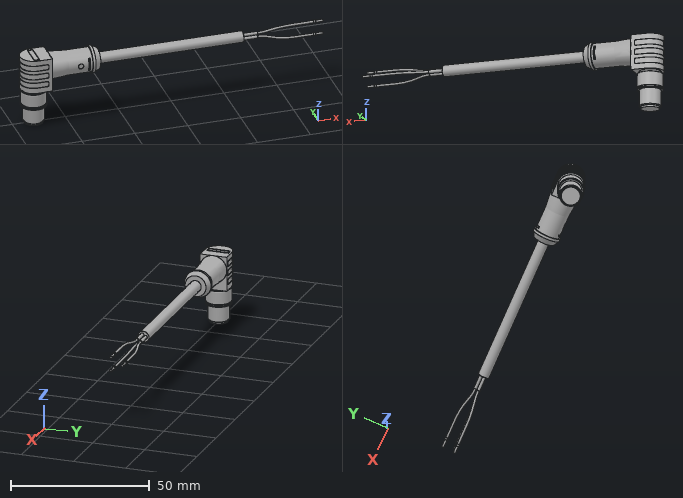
import cadquery as cq
import math


HEAD_RADIUS = 5.1
HEAD_BACK_X = 5.6
HEAD_TOP_Z = HEAD_RADIUS
HEAD_HEIGHT = 13.1
HEAD_BOTTOM_Z = HEAD_TOP_Z - HEAD_HEIGHT

GROOVE_WIDTH = 2.1
GROOVE_DEPTH = 0.2
GROOVE_PITCH = 3.4
GROOVE_COUNT = 3
GROOVE_END_X = 4.2
GROOVE_CORNER_RADIUS = 0.6

SLOT_LENGTH = 8.1
SLOT_WIDTH = 2.0
SLOT_DEPTH = 0.2

NECK_DIAMETER = 8.0
RING_DIAMETER = 9.6
RING_GROOVE_DIAMETER = 9.0
RING_GROOVE_WIDTH = 0.6
RING_LIP = 0.3
NECK_HEIGHT = 0.9
RING_HEIGHT = 6.1
RING_TOP_Z = HEAD_BOTTOM_Z - NECK_HEIGHT
RING_BOTTOM_Z = RING_TOP_Z - RING_HEIGHT
RING_TAPER_INSET = 0.1
RING_TAPER_HEIGHT = 0.6
PLUG_SHOULDER_Z = -21.3
PLUG_END_Z = -22.0
PLUG_CHAMFER = 0.3
PLUG_TIP_DIAMETER = 6.9

BARREL_DIAMETER = 9.3
TAPER_END_X = 12.1
TAPER_BULGE = 0.08
COLLAR_DIAMETER = 2 * HEAD_RADIUS
COLLAR_START_X = 21.0
COLLAR_CONE_X = 22.1
COLLAR_END_X = 24.2
COLLAR_END_DIAMETER = 8.0

DIMPLE_DIAMETER = 2.0
DIMPLE_X = 16.6
DIMPLE_DEPTH = 0.2
SIDE_SLOT_X = 19.9
SIDE_SLOT_WIDTH = 0.6
SIDE_SLOT_FLOOR_Y = 3.9

CABLE_DIAMETER = 4.3
CABLE_END_X = 79.0
WIRE_COUNT = 3
INSULATION_DIAMETER = 1.4
INSULATION_END_X = 84.5
CORE_DIAMETER = 1.05
BEND_END_X = 97.8
FIRST_BEND_SHARE = 0.34
SPREAD_RADIUS = 3.0
BAND_DIAMETER = 1.4
BAND_START_X = 105.3
BAND_END_X = 106.1
TIP_DIAMETER = 1.0
TIP_END_X = 108.9
LONG_TIP_END_X = 109.2
JOINT_OVERLAP = 1.1
INSULATION_GAP = 0.1
BUNDLE_RADIUS = (INSULATION_DIAMETER + INSULATION_GAP) / math.sqrt(3)


def head_outline(inset=0.0):
    """D outline on the XY plane, inset all around."""
    radius = HEAD_RADIUS - inset
    return (
        cq.Workplane("XY")
        .moveTo(0, radius)
        .threePointArc((-radius, 0), (0, -radius))
        .lineTo(HEAD_BACK_X, -radius)
        .lineTo(HEAD_BACK_X, radius)
        .close()
    )


def make_head():
    block = head_outline().extrude(HEAD_HEIGHT).translate((0, 0, HEAD_BOTTOM_Z))
    shell = block.cut(head_outline(GROOVE_DEPTH).extrude(HEAD_HEIGHT).translate((0, 0, HEAD_BOTTOM_Z)))
    start_x = -2 * HEAD_RADIUS
    middle_z = HEAD_TOP_Z - HEAD_HEIGHT / 2
    for index in range(GROOVE_COUNT):
        groove_z = middle_z + (index - (GROOVE_COUNT - 1) / 2) * GROOVE_PITCH
        cutter = (
            cq.Workplane("XY")
            .box(GROOVE_END_X - start_x, 4 * HEAD_RADIUS, GROOVE_WIDTH)
            .edges("|Y and >X")
            .fillet(GROOVE_CORNER_RADIUS)
            .translate(((GROOVE_END_X + start_x) / 2, 0, groove_z))
        )
        block = block.cut(cutter.intersect(shell))
    slot = cq.Workplane("XY").box(SLOT_WIDTH, SLOT_LENGTH, 2 * SLOT_DEPTH)
    return block.cut(slot.translate((0, 0, HEAD_TOP_Z)))


def make_plug():
    neck = NECK_DIAMETER / 2
    ring = RING_DIAMETER / 2
    ring_groove = RING_GROOVE_DIAMETER / 2
    tip = PLUG_TIP_DIAMETER / 2
    groove_bottom_z = RING_BOTTOM_Z + RING_LIP
    groove_top_z = groove_bottom_z + RING_GROOVE_WIDTH
    profile = [
        (0, 0),
        (neck, 0),
        (neck, RING_TOP_Z),
        (ring - RING_TAPER_INSET, RING_TOP_Z),
        (ring, RING_TOP_Z - RING_TAPER_HEIGHT),
        (ring, groove_top_z),
        (ring_groove, groove_top_z),
        (ring_groove, groove_bottom_z),
        (ring, groove_bottom_z),
        (ring, RING_BOTTOM_Z),
        (neck, RING_BOTTOM_Z),
        (neck, PLUG_SHOULDER_Z + PLUG_CHAMFER),
        (neck - PLUG_CHAMFER, PLUG_SHOULDER_Z),
        (tip, PLUG_SHOULDER_Z),
        (tip, PLUG_END_Z),
        (0, PLUG_END_Z),
    ]
    return cq.Workplane("XZ").polyline(profile).close().revolve(360, (0, 0), (0, 1))


def make_outlet():
    barrel = BARREL_DIAMETER / 2
    collar = COLLAR_DIAMETER / 2
    collar_end = COLLAR_END_DIAMETER / 2
    taper_middle = (
        (HEAD_BACK_X + TAPER_END_X) / 2,
        (HEAD_RADIUS + barrel) / 2 + TAPER_BULGE,
    )
    outlet = (
        cq.Workplane("XY")
        .moveTo(HEAD_BACK_X, 0)
        .lineTo(HEAD_BACK_X, HEAD_RADIUS)
        .threePointArc(taper_middle, (TAPER_END_X, barrel))
        .lineTo(COLLAR_START_X, barrel)
        .lineTo(COLLAR_START_X, collar)
        .lineTo(COLLAR_CONE_X, collar)
        .lineTo(COLLAR_END_X, collar_end)
        .lineTo(COLLAR_END_X, 0)
        .close()
        .revolve(360, (0, 0), (1, 0))
    )
    for side in (-1, 1):
        slot = cq.Workplane("XY").box(SIDE_SLOT_WIDTH, BARREL_DIAMETER, BARREL_DIAMETER)
        slot_y = side * (SIDE_SLOT_FLOOR_Y + BARREL_DIAMETER / 2)
        outlet = outlet.cut(slot.translate((SIDE_SLOT_X, slot_y, 0)))
    dimple = (
        cq.Workplane("XZ", origin=(DIMPLE_X, DIMPLE_DEPTH - barrel, 0))
        .circle(DIMPLE_DIAMETER / 2)
        .extrude(barrel)
    )
    return outlet.cut(dimple)


def rod(start_x, end_x, diameter, offset=0.0):
    """Round rod along X, displaced along +Y by the offset."""
    plane = cq.Workplane("YZ", origin=(start_x, offset, 0))
    return plane.circle(diameter / 2).extrude(end_x - start_x)


def make_wire(tip_end_x):
    """One wire in the XY plane that bends outward along +Y and straightens again."""
    run = BEND_END_X - INSULATION_END_X
    rise = SPREAD_RADIUS - BUNDLE_RADIUS
    middle_point = (INSULATION_END_X + FIRST_BEND_SHARE * run, BUNDLE_RADIUS + FIRST_BEND_SHARE * rise)
    path = (
        cq.Workplane("XY")
        .moveTo(INSULATION_END_X - JOINT_OVERLAP, BUNDLE_RADIUS)
        .lineTo(INSULATION_END_X, BUNDLE_RADIUS)
        .tangentArcPoint(middle_point, relative=False)
        .tangentArcPoint((BEND_END_X, SPREAD_RADIUS), relative=False)
        .lineTo(BAND_START_X, SPREAD_RADIUS)
    )
    core = (
        cq.Workplane("YZ", origin=(INSULATION_END_X - JOINT_OVERLAP, BUNDLE_RADIUS, 0))
        .circle(CORE_DIAMETER / 2)
        .sweep(path)
    )
    insulation = rod(CABLE_END_X - JOINT_OVERLAP, INSULATION_END_X, INSULATION_DIAMETER, BUNDLE_RADIUS)
    band = rod(BAND_START_X, BAND_END_X, BAND_DIAMETER, SPREAD_RADIUS)
    tip = rod(BAND_END_X, tip_end_x, TIP_DIAMETER, SPREAD_RADIUS)
    return insulation.union(core).union(band).union(tip)


result = make_head().union(make_plug()).union(make_outlet())
result = result.union(rod(COLLAR_END_X, CABLE_END_X, CABLE_DIAMETER))
for number in range(WIRE_COUNT):
    tip_end_x = LONG_TIP_END_X if number == 0 else TIP_END_X
    wire = make_wire(tip_end_x).rotate((0, 0, 0), (1, 0, 0), number * 360 / WIRE_COUNT)
    result = result.union(wire)